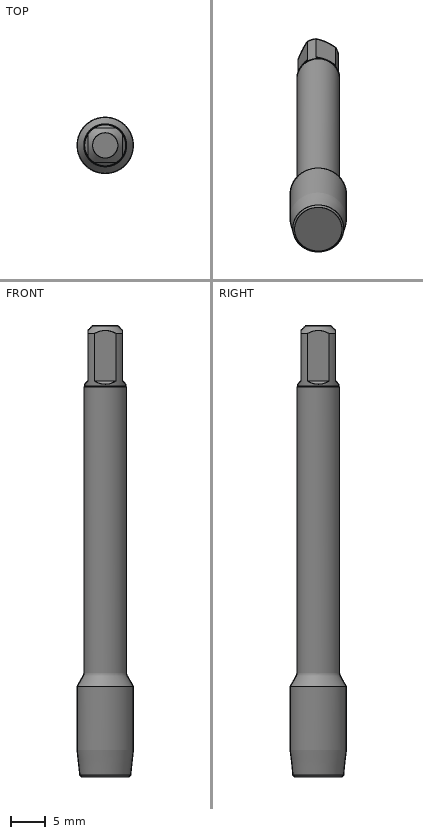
import cadquery as cq
import math

TOTAL_LENGTH = 65.1
HEAD_DIAMETER = 8.15
SHANK_DIAMETER = 6.2
DRIVE_DIAMETER = 5.9

TIP_DIAMETER = 7.35
TIP_BEVEL = 0.25
LEAD_LENGTH = 3.85
HEAD_LENGTH = 13.1

SHOULDER_ANGLE = math.radians(30)
SHOULDER_FILLET_RADIUS = 0.8

SQUARE_WIDTH = 5.0
DRIVE_LENGTH = 8.7
FLAT_LENGTH = 7.95
END_FACE_DIAMETER = 3.65
RUN_OUT_ANGLE = math.radians(42)


def revolve_profile(points):
    """Turn a (radius, height) outline about the Z axis."""
    return cq.Workplane("XZ").polyline(points).close().revolve(360, (0, 0), (0, 1))


def make_cutting_head():
    """Cylindrical head with a slightly tapered lead and a bevelled tip."""
    head_radius = HEAD_DIAMETER / 2
    tip_radius = TIP_DIAMETER / 2
    return revolve_profile([
        (0, 0),
        (tip_radius - TIP_BEVEL, 0),
        (tip_radius, TIP_BEVEL),
        (head_radius, LEAD_LENGTH),
        (head_radius, HEAD_LENGTH),
        (0, HEAD_LENGTH),
    ])


def make_turned_shank():
    """Shank with a filleted shoulder, a round drive end and a 45 degree end cone."""
    shank_radius = SHANK_DIAMETER / 2
    drive_radius = DRIVE_DIAMETER / 2
    end_radius = END_FACE_DIAMETER / 2
    head_radius = HEAD_DIAMETER / 2
    shoulder_top = HEAD_LENGTH + (head_radius - shank_radius) / math.tan(SHOULDER_ANGLE)
    drive_start = TOTAL_LENGTH - DRIVE_LENGTH
    turned = revolve_profile([
        (0, HEAD_LENGTH),
        (head_radius, HEAD_LENGTH),
        (shank_radius, shoulder_top),
        (shank_radius, drive_start - (shank_radius - drive_radius)),
        (drive_radius, drive_start),
        (drive_radius, TOTAL_LENGTH - (drive_radius - end_radius)),
        (end_radius, TOTAL_LENGTH),
        (0, TOTAL_LENGTH),
    ])
    shoulder_edge = cq.selectors.BoxSelector(
        (-HEAD_DIAMETER, -HEAD_DIAMETER, shoulder_top - SHOULDER_FILLET_RADIUS),
        (HEAD_DIAMETER, HEAD_DIAMETER, shoulder_top + SHOULDER_FILLET_RADIUS),
        boundingbox=True,
    )
    return turned.edges(shoulder_edge).fillet(SHOULDER_FILLET_RADIUS)


def make_flat_cutter():
    """Cutter for one drive flat, with a sloping run-out at its lower end."""
    inner = SQUARE_WIDTH / 2
    outer = SHANK_DIAMETER
    flat_start = TOTAL_LENGTH - FLAT_LENGTH
    return (
        cq.Workplane("XZ")
        .polyline([
            (inner, flat_start),
            (outer, flat_start - (outer - inner) / math.tan(RUN_OUT_ANGLE)),
            (outer, TOTAL_LENGTH),
            (inner, TOTAL_LENGTH),
        ])
        .close()
        .extrude(SHANK_DIAMETER / 2, both=True)
    )


def make_shank():
    """Turned shank with the four flats of the square drive cut into it."""
    shank = make_turned_shank()
    flat_cutter = make_flat_cutter()
    for quarter_turn in range(4):
        shank = shank.cut(flat_cutter.rotate((0, 0, 0), (0, 0, 1), 90 * quarter_turn))
    return shank


cutting_head = make_cutting_head()
shank = make_shank()
result = cq.Compound.makeCompound([cutting_head.val(), shank.val()])